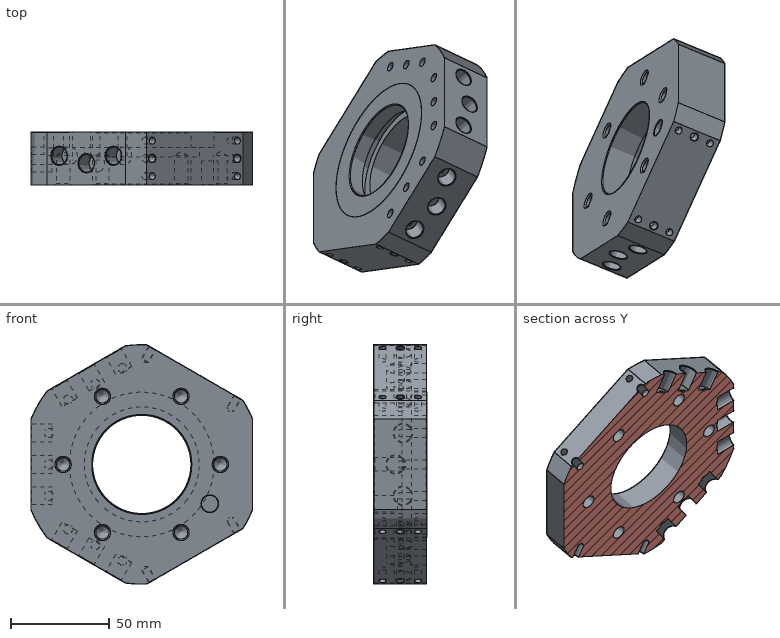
import cadquery as cq
import math

CORNER_RADIUS = 61.0
LONG_APOTHEM = 56.5
SHORT_APOTHEM = 54.0
OVERALL_DEPTH = 27.1
RING_PROTRUSION = 0.1
HOUSING_DEPTH = OVERALL_DEPTH - RING_PROTRUSION
FRONT_Y = -OVERALL_DEPTH / 2
RING_BACK_Y = FRONT_Y + OVERALL_DEPTH
BACK_Y = FRONT_Y + HOUSING_DEPTH

BORE_RADIUS = 25.0
BORE_CHAMFER = 0.5
GROOVE_RADIUS = 29.3
GROOVE_START_Y = 0.9
RING_RADIUS = 36.8
RING_FRONT_Y = 5.6

BOLT_CIRCLE_RADIUS = 40.0
THREAD_DIAMETER = 6.8
THREAD_CHAMFER = 0.7
THREAD_DEPTH = 15.0
DOWEL_ANGLE = -30
DOWEL_DIAMETER = 8.5
DOWEL_CHAMFER = 0.2
DOWEL_DEPTH = 12.2
DRILL_POINT_ANGLE = 118

PORT_FACE_ANGLES = (120, 180, 240)
PORT_SPACING = 16.0
PORT_DIAMETER = 9.0
PORT_CHAMFER = 0.4
PORT_DEPTH = 10.7
OUTER_PORT_Y = 1.3
MIDDLE_PORT_Y = -2.5
CHANNEL_DIAMETER = 4.6
CHANNEL_ABOVE_PORT_FLOOR = 1.6
CHANNEL_END_Y = -0.7

MOUNT_FACE_ANGLES = (60, -60)
MOUNT_HALF_SPACING = 25.0
MOUNT_ROW_PITCH = 9.0
MOUNT_OUTER_DIAMETER = 3.5
MOUNT_MIDDLE_DIAMETER = 3.9
MOUNT_MIDDLE_CHAMFER = 0.2
MOUNT_DEPTH = 7.3


def side_face(angle, apothem):
    """Work plane on a side face: local x runs along the face, local y runs to the back."""
    a = math.radians(angle)
    return cq.Plane(
        origin=(apothem * math.cos(a), 0, apothem * math.sin(a)),
        xDir=(math.sin(a), 0, -math.cos(a)),
        normal=(math.cos(a), 0, math.sin(a)),
    )


def front_plane():
    return cq.Plane(origin=(0, FRONT_Y, 0), xDir=(1, 0, 0), normal=(0, -1, 0))


def polar(radius, angle):
    a = math.radians(angle)
    return radius * math.cos(a), radius * math.sin(a)


def hole_cutter(plane, center, diameter, depth, chamfer, pointed):
    """Blind round hole with a 45 degree mouth chamfer and a flat or drill-pointed bottom."""
    radius = diameter / 2
    outline = [(0, 0), (radius + chamfer, 0)]
    if chamfer:
        outline.append((radius, -chamfer))
    outline.append((radius, -depth))
    if pointed:
        tip = radius / math.tan(math.radians(DRILL_POINT_ANGLE / 2))
        outline.append((0, -depth - tip))
    else:
        outline.append((0, -depth))
    axis_plane = cq.Plane(plane.toWorldCoords((*center, 0)), plane.xDir, plane.yDir.multiply(-1))
    return cq.Workplane(axis_plane).polyline(outline).close().revolve(360, (0, 0), (0, 1))


def make_blank():
    blank = cq.Workplane(front_plane()).circle(CORNER_RADIUS).extrude(-HOUSING_DEPTH)
    for angle in range(0, 360, 60):
        apothem = SHORT_APOTHEM if angle in (60, 300) else LONG_APOTHEM
        waste = cq.Workplane(side_face(angle, apothem)).rect(2 * CORNER_RADIUS, 2 * OVERALL_DEPTH)
        blank = blank.cut(waste.extrude(CORNER_RADIUS))
    return blank


def bore_cutter():
    """Chamfered bore, internal groove and the ring seat, from front to back."""
    mouth = BORE_RADIUS + BORE_CHAMFER
    outline = [
        (0, FRONT_Y),
        (mouth, FRONT_Y),
        (BORE_RADIUS, FRONT_Y + BORE_CHAMFER),
        (BORE_RADIUS, GROOVE_START_Y),
        (GROOVE_RADIUS, GROOVE_START_Y),
        (GROOVE_RADIUS, RING_FRONT_Y),
        (RING_RADIUS, RING_FRONT_Y),
        (RING_RADIUS, BACK_Y),
        (0, BACK_Y),
    ]
    return cq.Workplane("XY").polyline(outline).close().revolve(360, (0, 0), (0, 1))


def front_hole_cutters():
    plane = front_plane()
    cutters = []
    for angle in range(0, 360, 60):
        center = polar(BOLT_CIRCLE_RADIUS, angle)
        cutters.append(hole_cutter(plane, center, THREAD_DIAMETER, THREAD_DEPTH, THREAD_CHAMFER, True))
    dowel_center = polar(BOLT_CIRCLE_RADIUS, DOWEL_ANGLE)
    cutters.append(hole_cutter(plane, dowel_center, DOWEL_DIAMETER, DOWEL_DEPTH, DOWEL_CHAMFER, False))
    return cutters


def port_cutters():
    cutters = []
    for angle in PORT_FACE_ANGLES:
        plane = side_face(angle, LONG_APOTHEM)
        for step in (-1, 0, 1):
            along = step * PORT_SPACING
            y = OUTER_PORT_Y if step else MIDDLE_PORT_Y
            cutters.append(hole_cutter(plane, (along, y), PORT_DIAMETER, PORT_DEPTH, PORT_CHAMFER, False))
            start = plane.toWorldCoords((along, BACK_Y, CHANNEL_ABOVE_PORT_FLOOR - PORT_DEPTH))
            channel_plane = cq.Plane(origin=start, xDir=(1, 0, 0), normal=(0, 1, 0))
            channel = cq.Workplane(channel_plane).circle(CHANNEL_DIAMETER / 2)
            cutters.append(channel.extrude(CHANNEL_END_Y - BACK_Y))
    return cutters


def mount_hole_cutters():
    cutters = []
    for angle in MOUNT_FACE_ANGLES:
        plane = side_face(angle, SHORT_APOTHEM)
        for along in (-MOUNT_HALF_SPACING, MOUNT_HALF_SPACING):
            for row in (-1, 0, 1):
                diameter = MOUNT_OUTER_DIAMETER if row else MOUNT_MIDDLE_DIAMETER
                chamfer = 0 if row else MOUNT_MIDDLE_CHAMFER
                center = (along, row * MOUNT_ROW_PITCH)
                cutters.append(hole_cutter(plane, center, diameter, MOUNT_DEPTH, chamfer, True))
    return cutters


def make_housing():
    housing = make_blank().cut(bore_cutter())
    for cutter in front_hole_cutters() + port_cutters() + mount_hole_cutters():
        housing = housing.cut(cutter)
    return housing


def make_locking_ring():
    """Flat ring in the back of the housing, slightly proud of it, with a chamfered inner back edge."""
    plane = cq.Plane(origin=(0, RING_FRONT_Y, 0), xDir=(1, 0, 0), normal=(0, 1, 0))
    ring = cq.Workplane(plane).circle(RING_RADIUS).circle(BORE_RADIUS)
    ring = ring.extrude(RING_BACK_Y - RING_FRONT_Y)
    inner_back_edge = cq.selectors.RadiusNthSelector(0)
    return ring.faces(">Y").edges(inner_back_edge).chamfer(BORE_CHAMFER)


housing = make_housing()
locking_ring = make_locking_ring()
result = cq.Compound.makeCompound([housing.val(), locking_ring.val()])